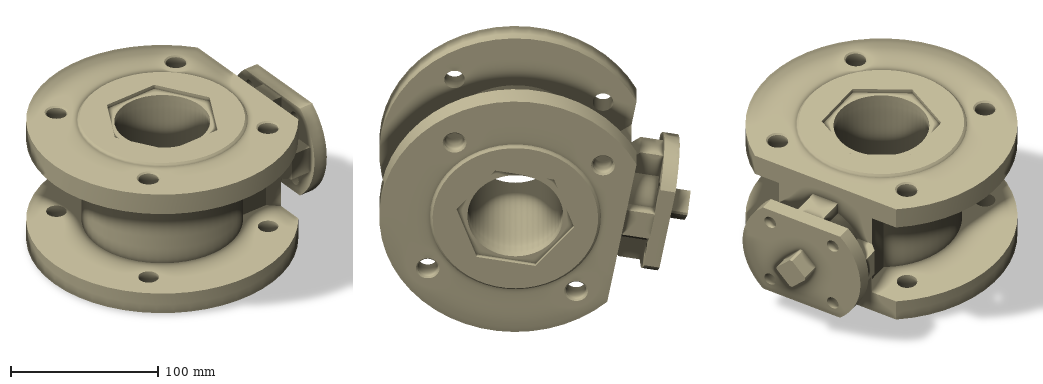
import cadquery as cq
import math

flange_diameter = 184.8
flange_thickness = 15.8
flange_flat_y = 73.5
raised_face_diameter = 116.1
raised_face_height = 2.0
overall_height = 100.0
body_diameter = 109.8
bore_diameter = 65.0
hex_across_flats = 70.3
hex_depth = 3.2

bolt_hole_diameter = 14.0
bolt_hole_chamfer = 1.0
bolt_hole_spacing = 102.5

neck_block_width = 59.1
wing_width = 84.5
neck_rib_width = 19.8
neck_rib_height = 68.0
neck_diameter = 55.0
plate_start_y = 94.4
plate_thickness = 10.5
plate_diameter = 93.5
plate_height = 70.7
plate_hole_diameter = 9.0
plate_hole_circle = 70.0
overall_length = 211.2
stem_end_y = overall_length - flange_diameter / 2
stem_square = 17.3
stem_diameter = 22.5

flange_outer_z = overall_height / 2 - raised_face_height
flange_inner_z = flange_outer_z - flange_thickness
wing_slope = (wing_width - neck_block_width) / 2
wing_slope_end_y = 78.8
wing_slope_start_y = wing_slope_end_y - wing_slope


def along_y(start_y):
    """Workplane facing +Y; local x is -X and local y is Z."""
    return cq.Workplane("XZ", origin=(0, start_y, 0)).transformed(rotate=(0, 180, 0))


def make_flange():
    """Upper flange with its flat, raised face and chamfered bolt holes."""
    disc = (
        cq.Workplane("XY", origin=(0, 0, flange_inner_z))
        .circle(flange_diameter / 2)
        .extrude(flange_thickness)
    )
    beyond_flat = (
        cq.Workplane("XY")
        .box(flange_diameter, flange_diameter, overall_height)
        .translate((0, flange_flat_y + flange_diameter / 2, 0))
    )
    drilled_disc = (
        disc.cut(beyond_flat)
        .faces(">Z")
        .workplane(origin=(0, 0, flange_outer_z))
        .rect(bolt_hole_spacing, bolt_hole_spacing, forConstruction=True)
        .vertices()
        .cskHole(bolt_hole_diameter, bolt_hole_diameter + 2 * bolt_hole_chamfer, 90)
    )
    raised_face = (
        cq.Workplane("XY", origin=(0, 0, flange_outer_z))
        .circle(raised_face_diameter / 2)
        .extrude(raised_face_height, taper=45)
    )
    return drilled_disc.union(raised_face)


def make_neck():
    """Block between the flanges, then a cross of two ribs around a round neck."""
    block_half = neck_block_width / 2
    wing_half = wing_width / 2
    profile = [
        (-block_half, 0),
        (block_half, 0),
        (block_half, wing_slope_start_y),
        (wing_half, wing_slope_end_y),
        (wing_half, plate_start_y),
        (-wing_half, plate_start_y),
        (-wing_half, wing_slope_end_y),
        (-block_half, wing_slope_start_y),
    ]
    winged_block = cq.Workplane("XY").polyline(profile).close().extrude(flange_inner_z, both=True)
    neck_length = plate_start_y - flange_flat_y
    wing_rib = along_y(flange_flat_y).rect(wing_width, neck_rib_width).extrude(neck_length)
    lower_part = along_y(0).rect(wing_width, neck_rib_height).extrude(flange_flat_y)
    winged_block = winged_block.intersect(lower_part.union(wing_rib))
    cross_rib = along_y(flange_flat_y).rect(neck_rib_width, neck_rib_height).extrude(neck_length)
    round_neck = along_y(flange_flat_y).circle(neck_diameter / 2).extrude(neck_length)
    return winged_block.union(cross_rib).union(round_neck)


def make_mounting_plate():
    """Round plate with two flats and four holes for the actuator."""
    disc = along_y(plate_start_y).circle(plate_diameter / 2).extrude(plate_thickness)
    flats = along_y(plate_start_y).rect(plate_diameter, plate_height).extrude(plate_thickness)
    holes = (
        along_y(plate_start_y)
        .polarArray(plate_hole_circle / 2, 45, 360, 4)
        .circle(plate_hole_diameter / 2)
        .extrude(plate_thickness)
    )
    return disc.intersect(flats).cut(holes)


def make_stem():
    """Square stem set on its corner, with the corners turned round."""
    stem_start_y = plate_start_y + plate_thickness
    stem_length = stem_end_y - stem_start_y
    square = along_y(stem_start_y).transformed(rotate=(0, 0, 45)).rect(stem_square, stem_square)
    turned_bar = along_y(stem_start_y).circle(stem_diameter / 2).extrude(stem_length)
    return square.extrude(stem_length).intersect(turned_bar)


def make_hex_recess():
    """Hexagonal recess in the upper raised face, with corners on the Y axis."""
    hex_across_corners = hex_across_flats / math.cos(math.pi / 6)
    return (
        cq.Workplane("XY", origin=(0, 0, overall_height / 2 - hex_depth))
        .transformed(rotate=(0, 0, 90))
        .polygon(6, hex_across_corners)
        .extrude(hex_depth)
    )


upper_flange = make_flange()
upper_recess = make_hex_recess()
body = cq.Workplane("XY").circle(body_diameter / 2).extrude(flange_inner_z, both=True)
bore = cq.Workplane("XY").circle(bore_diameter / 2).extrude(overall_height / 2, both=True)

result = (
    body.union(make_neck())
    .union(upper_flange)
    .union(upper_flange.mirror("XY"))
    .union(make_mounting_plate())
    .union(make_stem())
    .cut(bore)
    .cut(upper_recess)
    .cut(upper_recess.mirror("XY"))
)